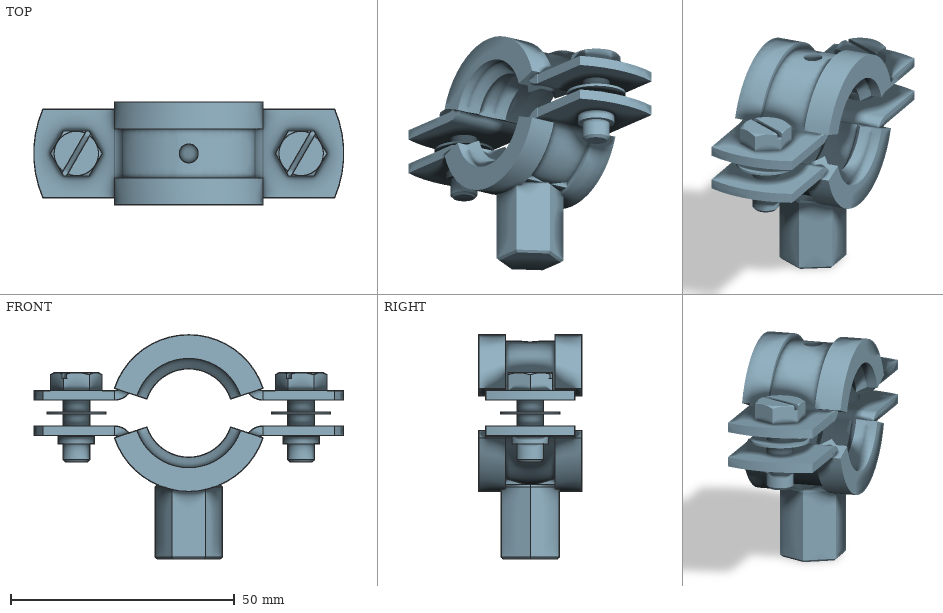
import cadquery as cq
import math

OVERALL_LENGTH = 69.27
OVERALL_HEIGHT = 50.14

LINER_WIDTH = 23.0
LINER_OUTER_R = 17.5
LINER_ROOT_R = 12.2
LINER_CREST_R = 9.85
LINER_END_ANGLE = 18.4
LINER_LIP_GAP = 11.0
TOOTH_COUNT = 3
TOOTH_PITCH = 7.25
TOOTH_HALF_WIDTH = 1.75

BAND_WIDTH = 20.0
BAND_OUTER_R = 16.05
BAND_THICKNESS = 2.15
BAND_INNER_R = BAND_OUTER_R - BAND_THICKNESS
BAND_HOLE_D = 4.2

FLANGE_FAR_Z = 5.03
FLANGE_NEAR_Z = FLANGE_FAR_Z - BAND_THICKNESS
FLANGE_WIDTH = 19.8
FLANGE_TIP_X = OVERALL_LENGTH / 2
FLANGE_TIP_R = 25.0
BEND_R = 1.9
BEND_CENTRE_R = BAND_OUTER_R + BEND_R
BEND_CENTRE_Z = FLANGE_FAR_Z + BEND_R
BEND_CENTRE_X = math.sqrt(BEND_CENTRE_R**2 - BEND_CENTRE_Z**2)

BOLT_X = 25.1
BOLT_D = 6.0
BOLT_LENGTH = 16.0
BOLT_TIP_CHAMFER = 0.6
HEAD_HEIGHT = 4.0
HEAD_FLATS = 10.0
HEAD_TOP_D = 9.9
HEAD_CHAMFER_ANGLE = 30.0
SLOT_WIDTH = 1.2
SLOT_DEPTH = 1.3
SLOT_ANGLE = 60.0
COLLAR_D = 8.1
COLLAR_HEIGHT = 1.85
COLLAR_ROOT_CHAMFER = 0.25
WASHER_D = 13.2
WASHER_THICKNESS = 0.5

NUT_FLATS = 13.0
NUT_TOP_Z = -16.0
NUT_BOTTOM_Z = LINER_OUTER_R - OVERALL_HEIGHT
NUT_CHAMFER = 0.5
WELD_START_Y = 0.9
WELD_HALF_LENGTH = 6.5
WELD_HEIGHT = 1.35

HEX_CORNER_RATIO = 1 / math.cos(math.radians(30))


def at_bolts(z):
    return cq.Workplane("XY").workplane(offset=z).pushPoints([(-BOLT_X, 0), (BOLT_X, 0)])


def ring_cylinder(radius, width):
    return cq.Workplane("XZ").circle(radius).extrude(width / 2, both=True)


def mirrored_to_lower(body):
    return body.mirror("XY")


def bend_point(side, radius, fraction):
    """Point on a bend arc; fraction 0 is at the flange, 1 where it meets the band."""
    start = -math.pi / 2
    sweep = math.atan2(BEND_CENTRE_X, BEND_CENTRE_Z)
    angle = start - fraction * sweep
    x = BEND_CENTRE_X + radius * math.cos(angle)
    z = BEND_CENTRE_Z + radius * math.sin(angle)
    return (side * x, z)


def band_blank():
    """Upper band half with both flanges, before any hole is made."""
    outer_bend = BEND_R + BAND_THICKNESS
    profile = (
        cq.Workplane("XZ")
        .moveTo(-FLANGE_TIP_X, FLANGE_FAR_Z)
        .lineTo(*bend_point(-1, BEND_R, 0))
        .threePointArc(bend_point(-1, BEND_R, 0.5), bend_point(-1, BEND_R, 1))
        .threePointArc((0, BAND_OUTER_R), bend_point(1, BEND_R, 1))
        .threePointArc(bend_point(1, BEND_R, 0.5), bend_point(1, BEND_R, 0))
        .lineTo(FLANGE_TIP_X, FLANGE_FAR_Z)
        .lineTo(FLANGE_TIP_X, FLANGE_NEAR_Z)
        .lineTo(*bend_point(1, outer_bend, 0))
        .threePointArc(bend_point(1, outer_bend, 0.5), bend_point(1, outer_bend, 1))
        .threePointArc((0, BAND_INNER_R), bend_point(-1, outer_bend, 1))
        .threePointArc(bend_point(-1, outer_bend, 0.5), bend_point(-1, outer_bend, 0))
        .lineTo(-FLANGE_TIP_X, FLANGE_NEAR_Z)
        .close()
        .extrude(BAND_WIDTH / 2, both=True)
    )
    half_width = FLANGE_WIDTH / 2
    corner_x = FLANGE_TIP_X - FLANGE_TIP_R + math.sqrt(FLANGE_TIP_R**2 - half_width**2)
    plan = (
        cq.Workplane("XY")
        .moveTo(-corner_x, -half_width)
        .lineTo(corner_x, -half_width)
        .threePointArc((FLANGE_TIP_X, 0), (corner_x, half_width))
        .lineTo(-corner_x, half_width)
        .threePointArc((-FLANGE_TIP_X, 0), (-corner_x, -half_width))
        .close()
        .extrude(LINER_OUTER_R)
    )
    middle = cq.Workplane("XY").rect(2 * BEND_CENTRE_X, BAND_WIDTH).extrude(LINER_OUTER_R)
    return profile.intersect(plan.union(middle))


def bolt_holes():
    return at_bolts(-LINER_OUTER_R).circle(BOLT_D / 2).extrude(2 * LINER_OUTER_R)


def make_upper_band():
    centre_hole = cq.Workplane("XY").circle(BAND_HOLE_D / 2).extrude(LINER_OUTER_R)
    return band_blank().cut(bolt_holes()).cut(centre_hole)


def make_lower_band():
    collars = (
        at_bolts(-FLANGE_FAR_Z)
        .circle(COLLAR_D / 2)
        .extrude(-COLLAR_HEIGHT)
        .faces(">Z")
        .chamfer(COLLAR_ROOT_CHAMFER)
    )
    return mirrored_to_lower(band_blank()).union(collars).cut(bolt_holes())


def liner_ring():
    """Full ring with triangular inner teeth and an outer channel between the lips."""
    half_width = LINER_WIDTH / 2
    profile = (
        cq.Workplane("XY")
        .moveTo(LINER_OUTER_R, -half_width)
        .lineTo(LINER_ROOT_R, -half_width)
    )
    for i in range(TOOTH_COUNT):
        tooth_y = (i - (TOOTH_COUNT - 1) / 2) * TOOTH_PITCH
        profile = (
            profile.lineTo(LINER_ROOT_R, tooth_y - TOOTH_HALF_WIDTH)
            .lineTo(LINER_CREST_R, tooth_y)
            .lineTo(LINER_ROOT_R, tooth_y + TOOTH_HALF_WIDTH)
        )
    ring = (
        profile.lineTo(LINER_ROOT_R, half_width)
        .lineTo(LINER_OUTER_R, half_width)
        .close()
        .revolve(360, (0, 0, 0), (0, 1, 0))
    )
    channel = ring_cylinder(2 * LINER_OUTER_R, LINER_LIP_GAP).cut(
        ring_cylinder(BAND_OUTER_R, LINER_LIP_GAP)
    )
    return ring.cut(channel)


def liner_blank():
    """Upper liner half with its slot for the steel band."""
    reach = 2 * LINER_OUTER_R
    rise = reach * math.tan(math.radians(LINER_END_ANGLE))
    sector = (
        cq.Workplane("XZ")
        .polyline([(0, 0), (reach, rise), (reach, reach), (-reach, reach), (-reach, rise)])
        .close()
        .extrude(LINER_WIDTH, both=True)
    )
    return liner_ring().intersect(sector).cut(band_blank())


def make_bolt(x):
    head = (
        cq.Workplane("XY")
        .polygon(6, HEAD_FLATS * HEX_CORNER_RATIO)
        .extrude(HEAD_HEIGHT)
    )
    cone_height = HEAD_TOP_D / 2 * math.tan(math.radians(HEAD_CHAMFER_ANGLE))
    apex_z = HEAD_HEIGHT + cone_height
    base_r = apex_z / math.tan(math.radians(HEAD_CHAMFER_ANGLE))
    cone = (
        cq.Workplane("XZ")
        .polyline([(0, 0), (base_r, 0), (0, apex_z)])
        .close()
        .revolve(360, (0, 0, 0), (0, 1, 0))
    )
    slot = (
        cq.Workplane("XY")
        .workplane(offset=HEAD_HEIGHT - SLOT_DEPTH)
        .transformed(rotate=(0, 0, SLOT_ANGLE))
        .rect(2 * HEAD_FLATS, SLOT_WIDTH)
        .extrude(HEAD_HEIGHT)
    )
    shank = (
        cq.Workplane("XY")
        .circle(BOLT_D / 2)
        .extrude(-BOLT_LENGTH)
        .faces("<Z")
        .chamfer(BOLT_TIP_CHAMFER)
    )
    return head.intersect(cone).cut(slot).union(shank).translate((x, 0, FLANGE_FAR_Z))


def make_washer(x):
    return (
        cq.Workplane("XY")
        .circle(WASHER_D / 2)
        .circle(BOLT_D / 2)
        .extrude(WASHER_THICKNESS / 2, both=True)
        .translate((x, 0, 0))
    )


def weld_filler(side):
    """Wedge on the nut top, filling the space up to the band beside one liner lip."""
    lip_y = LINER_LIP_GAP / 2
    return (
        cq.Workplane("YZ")
        .polyline([
            (side * WELD_START_Y, NUT_TOP_Z),
            (side * lip_y, NUT_TOP_Z + WELD_HEIGHT),
            (side * lip_y, NUT_TOP_Z),
        ])
        .close()
        .extrude(WELD_HALF_LENGTH, both=True)
    )


def make_nut():
    hexagon = (
        cq.Workplane("XY")
        .workplane(offset=NUT_BOTTOM_Z)
        .polygon(6, NUT_FLATS * HEX_CORNER_RATIO)
        .extrude(NUT_TOP_Z - NUT_BOTTOM_Z)
        .faces("<Z or >Z")
        .chamfer(NUT_CHAMFER)
    )
    for side in (-1, 1):
        hexagon = hexagon.union(weld_filler(side))
    return hexagon.cut(ring_cylinder(BAND_OUTER_R, LINER_WIDTH))


upper_band = make_upper_band()
lower_band = make_lower_band()
nut = make_nut()
upper_liner = liner_blank()
lower_liner = mirrored_to_lower(upper_liner).cut(nut)
bolts = [make_bolt(x) for x in (-BOLT_X, BOLT_X)]
washers = [make_washer(x) for x in (-BOLT_X, BOLT_X)]

result = cq.Compound.makeCompound([
    upper_band.val(),
    lower_band.val(),
    upper_liner.val(),
    lower_liner.val(),
    nut.val(),
    *[bolt.val() for bolt in bolts],
    *[washer.val() for washer in washers],
])